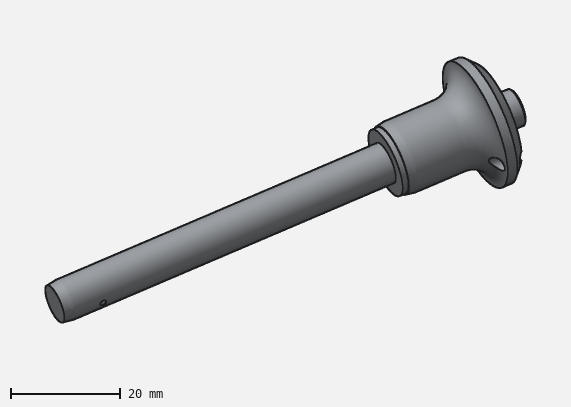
import cadquery as cq


OVERALL_LENGTH = 95.9

FLANGE_RADIUS = 12.5
FLANGE_CHAMFER = 2.0
FLANGE_RIM_WIDTH = 2.0
BODY_RADIUS = 7.1
BODY_LENGTH = 10.3
FLARE_RADIUS = FLANGE_RADIUS - BODY_RADIUS
BODY_TAPER_LENGTH = 1.7
BODY_TAPER_END_RADIUS = 6.8
COLLAR_RADIUS = 6.6
COLLAR_LENGTH = 1.2

BUTTON_RADIUS = 3.65
BUTTON_LENGTH = 4.7
BUTTON_CHAMFER = 0.3

SHANK_RADIUS = 4.0
TIP_RADIUS = 3.7
TIP_TAPER_LENGTH = 2.1

BALL_RADIUS = 0.75
BALL_PROJECTION = 0.3
BALL_FROM_TIP = 7.9

LANYARD_HOLE_DIAMETER = 3.0
LANYARD_HOLE_OFFSET = 10.0

TAPER_START_Y = COLLAR_LENGTH
BODY_START_Y = TAPER_START_Y + BODY_TAPER_LENGTH
FLARE_START_Y = BODY_START_Y + BODY_LENGTH
FLANGE_FRONT_Y = FLARE_START_Y + FLARE_RADIUS
FLANGE_RIM_END_Y = FLANGE_FRONT_Y + FLANGE_RIM_WIDTH
FLANGE_BACK_Y = FLANGE_RIM_END_Y + FLANGE_CHAMFER
BUTTON_END_Y = FLANGE_BACK_Y + BUTTON_LENGTH
TIP_Y = BUTTON_END_Y - OVERALL_LENGTH


def turned_body():
    """Handle, button and shank as one profile revolved about the Y axis."""
    profile = (
        cq.Workplane("XY")
        .moveTo(0, TIP_Y)
        .lineTo(TIP_RADIUS, TIP_Y)
        .lineTo(SHANK_RADIUS, TIP_Y + TIP_TAPER_LENGTH)
        .lineTo(SHANK_RADIUS, 0)
        .lineTo(COLLAR_RADIUS, 0)
        .lineTo(COLLAR_RADIUS, TAPER_START_Y)
        .lineTo(BODY_TAPER_END_RADIUS, TAPER_START_Y)
        .lineTo(BODY_RADIUS, BODY_START_Y)
        .lineTo(BODY_RADIUS, FLARE_START_Y)
        .radiusArc((FLANGE_RADIUS, FLANGE_FRONT_Y), FLARE_RADIUS)
        .lineTo(FLANGE_RADIUS, FLANGE_RIM_END_Y)
        .lineTo(FLANGE_RADIUS - FLANGE_CHAMFER, FLANGE_BACK_Y)
        .lineTo(BUTTON_RADIUS, FLANGE_BACK_Y)
        .lineTo(BUTTON_RADIUS, BUTTON_END_Y - BUTTON_CHAMFER)
        .lineTo(BUTTON_RADIUS - BUTTON_CHAMFER, BUTTON_END_Y)
        .lineTo(0, BUTTON_END_Y)
        .close()
    )
    return profile.revolve(360, (0, 0, 0), (0, 1, 0))


def locking_ball(side):
    """Ball standing slightly proud of the shank on the given X side (+1 or -1)."""
    center_x = side * (SHANK_RADIUS + BALL_PROJECTION - BALL_RADIUS)
    return cq.Workplane("XY").sphere(BALL_RADIUS).translate((center_x, TIP_Y + BALL_FROM_TIP, 0))


def lanyard_hole():
    """Cutter for the hole running along Y through the flange on the +X side."""
    return (
        cq.Workplane("XZ", origin=(LANYARD_HOLE_OFFSET, FLANGE_BACK_Y, 0))
        .circle(LANYARD_HOLE_DIAMETER / 2)
        .extrude(FLANGE_BACK_Y - FLARE_START_Y)
    )


result = turned_body()
for ball_side in (-1, 1):
    result = result.union(locking_ball(ball_side))
result = result.cut(lanyard_hole())